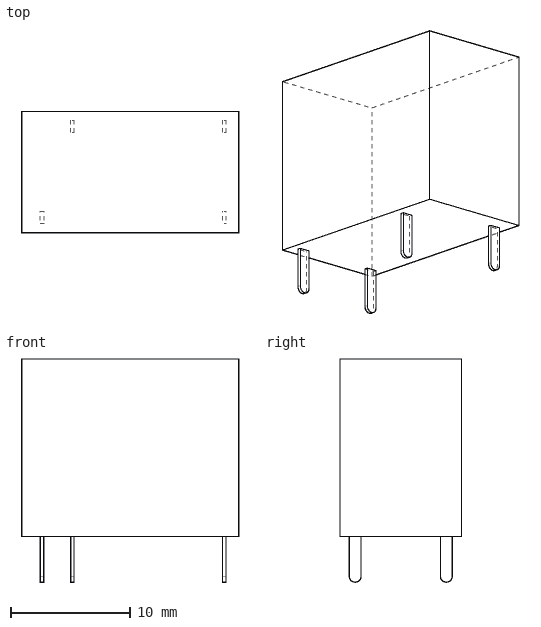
import cadquery as cq

body_length = 18.2
body_width = 10.2
overall_height = 18.7

pin_length = 3.81
pin_thickness = 0.3
pin_width = 1.01
pin_row_spacing = 7.63
pin_pitch = 2.55
coil_gap_pitches = 5

body_height = overall_height - pin_length

row_y = pin_row_spacing / 2
outer_contact_x = -7.39
inner_contact_x = outer_contact_x + pin_pitch
coil_x = inner_contact_x + coil_gap_pitches * pin_pitch
pin_positions = [
    (outer_contact_x, -row_y),
    (inner_contact_x, row_y),
    (coil_x, -row_y),
    (coil_x, row_y),
]


def make_pin(x, y):
    """Blade pin hanging below the body, thin along X, with a round tip."""
    radius = pin_width / 2
    tip_start = radius - pin_length
    return (
        cq.Workplane("YZ", origin=(x, y, 0))
        .moveTo(-radius, 0)
        .lineTo(-radius, tip_start)
        .threePointArc((0, -pin_length), (radius, tip_start))
        .lineTo(radius, 0)
        .close()
        .extrude(pin_thickness / 2, both=True)
    )


result = cq.Workplane("XY").box(
    body_length, body_width, body_height, centered=(True, True, False)
)

for pin_x, pin_y in pin_positions:
    result = result.union(make_pin(pin_x, pin_y))